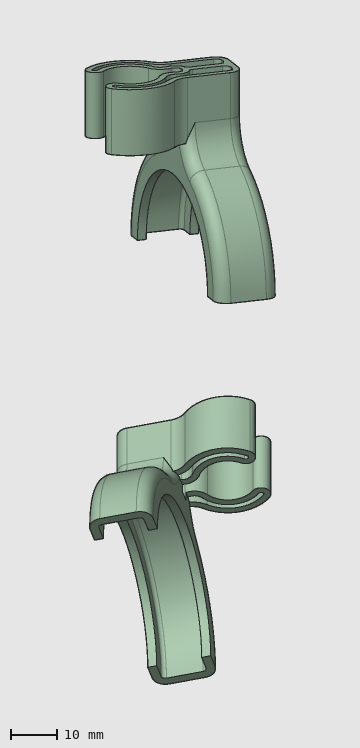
import cadquery as cq
import math

ring_radius = 28.1
bore_radius = 21.6
saddle_depth = 14.15
edge_round = 3.0
flank_radius = 10.0

shell = 2.0

clip_height = 15.0
top_z = 45.0
clip_bottom_z = top_z - clip_height
wall = 1.5
block_half_width = 6.0
web_half_width = 0.9
slot_corner_radius = edge_round - wall
slot_root_radius = 1.0

total_depth = 31.85
jaw_y = -24.0
jaw_outer_radius = 10.6
jaw_inner_radius = 6.4
shoulder_radius = 5.0
tip_radius = (jaw_outer_radius - jaw_inner_radius) / 2
tip_slot_radius = tip_radius - wall
tip_path_radius = jaw_inner_radius + tip_radius
tip_y = tip_radius - total_depth
tip_angle = math.asin((tip_y - jaw_y) / tip_path_radius)

bulb_radius = 1.5
throat_half_width = 1.3
throat_blend_radius = 4.0
relief_floor_z = 27.9

jaw_center = (0, jaw_y)


def polar(center, radius, angle):
    return (center[0] + radius * math.cos(angle), center[1] + radius * math.sin(angle))


def arc_to(path, center, start, end):
    """Add the shorter arc about center from start to end."""
    first = math.atan2(start[1] - center[1], start[0] - center[0])
    last = math.atan2(end[1] - center[1], end[0] - center[0])
    sweep = math.remainder(last - first, 2 * math.pi)
    radius = math.dist(center, start)
    return path.threePointArc(polar(center, radius, first + sweep / 2), end)


def toward(center, target, distance):
    """Point at the given distance from center, in the direction of target."""
    return polar(center, distance, math.atan2(target[1] - center[1], target[0] - center[0]))


def blend_center(wall_x, blend_radius, center, radius):
    """Center, above the circle, of an arc touching a wall and a circle from outside."""
    x = wall_x + blend_radius
    return (x, center[1] + math.sqrt((radius + blend_radius) ** 2 - x**2))


shoulder_center = blend_center(block_half_width, shoulder_radius, jaw_center, jaw_outer_radius)
throat_blend_center = blend_center(
    throat_half_width, throat_blend_radius, jaw_center, jaw_inner_radius
)
bulb_y = throat_blend_center[1] + math.sqrt(
    (bulb_radius + throat_blend_radius) ** 2 - throat_blend_center[0] ** 2
)
bulb_center = (0, bulb_y)
tip_center = polar(jaw_center, tip_path_radius, tip_angle)


def rounded_tip(path, radius, end):
    """Half-circle around the jaw tip, bulging away from the jaw."""
    return path.threePointArc(polar(tip_center, radius, tip_angle - math.pi / 2), end)


def make_saddle():
    blend = (
        block_half_width + flank_radius,
        math.sqrt((ring_radius + flank_radius) ** 2 - (block_half_width + flank_radius) ** 2),
    )
    ring_touch = toward((0, 0), blend, ring_radius)
    neck_touch = (block_half_width, blend[1])
    path = cq.Workplane("XZ").moveTo(0, bore_radius)
    path = arc_to(path, (0, 0), (0, bore_radius), (bore_radius, 0)).lineTo(ring_radius, 0)
    path = arc_to(path, (0, 0), (ring_radius, 0), ring_touch)
    path = arc_to(path, blend, ring_touch, neck_touch)
    half = path.lineTo(block_half_width, top_z).lineTo(0, top_z).close().extrude(saddle_depth)
    saddle = half.union(half.mirror("YZ")).clean()
    flank_middle = ((ring_touch[0] + neck_touch[0]) / 2, (ring_touch[1] + neck_touch[1]) / 2)
    edges = []
    for face_y in (0, -saddle_depth):
        for side in (-1, 1):
            for x, z in (
                polar((0, 0), ring_radius, math.pi / 8),
                toward(blend, flank_middle, flank_radius),
                (block_half_width, (top_z + neck_touch[1]) / 2),
            ):
                point = cq.Vertex.makeVertex(side * x, face_y, z)
                edges.append(min(saddle.edges().vals(), key=point.distance))
    return saddle.newObject(edges).fillet(edge_round)


def make_hollow():
    """Disk with rounded rims that hollows the saddle from its bore."""
    disk = cq.Workplane("XZ").workplane(offset=shell).circle(ring_radius - shell)
    disk = disk.extrude(saddle_depth - 2 * shell)
    return disk.edges("%CIRCLE").fillet(edge_round - shell)


def make_half_clip():
    """Right half of the clip, without its slot and bulb."""
    block_end = (block_half_width, shoulder_center[1])
    jaw_start = toward(jaw_center, shoulder_center, jaw_outer_radius)
    tip_start = polar(jaw_center, jaw_outer_radius, tip_angle)
    tip_end = polar(jaw_center, jaw_inner_radius, tip_angle)
    jaw_end = toward(jaw_center, throat_blend_center, jaw_inner_radius)
    throat_end = toward(bulb_center, throat_blend_center, bulb_radius)
    corner_center = (block_half_width - edge_round, -edge_round)

    path = cq.Workplane("XY").workplane(offset=clip_bottom_z).moveTo(0, 0)
    path = path.lineTo(corner_center[0], 0)
    path = arc_to(path, corner_center, (corner_center[0], 0), (block_half_width, -edge_round))
    path = path.lineTo(*block_end)
    path = arc_to(path, shoulder_center, block_end, jaw_start)
    path = arc_to(path, jaw_center, jaw_start, tip_start)
    path = rounded_tip(path, tip_radius, tip_end)
    path = arc_to(path, jaw_center, tip_end, jaw_end)
    path = arc_to(path, throat_blend_center, jaw_end, throat_end)
    path = path.lineTo(0, bulb_y)
    return path.close().extrude(clip_height)


def make_slot():
    """Slot in the right half, keeping an even wall around it."""
    left = web_half_width
    right = block_half_width - wall
    back = -wall
    corner = slot_corner_radius
    right_end = (right, shoulder_center[1])
    outer_radius = jaw_outer_radius - wall
    inner_radius = jaw_inner_radius + wall
    outer_start = toward(jaw_center, shoulder_center, outer_radius)
    tip_start = polar(jaw_center, outer_radius, tip_angle)
    tip_end = polar(jaw_center, inner_radius, tip_angle)
    inner_end = toward(jaw_center, throat_blend_center, inner_radius)
    bulb_start = toward(bulb_center, throat_blend_center, bulb_radius + wall)
    root_center = blend_center(left, slot_root_radius, bulb_center, bulb_radius + wall)
    bulb_end = toward(bulb_center, root_center, bulb_radius + wall)
    root_end = (left, root_center[1])

    path = cq.Workplane("XY").workplane(offset=clip_bottom_z).moveTo(left + corner, back)
    path = path.lineTo(right - corner, back)
    path = arc_to(path, (right - corner, back - corner), (right - corner, back), (right, back - corner))
    path = path.lineTo(*right_end)
    path = arc_to(path, shoulder_center, right_end, outer_start)
    path = arc_to(path, jaw_center, outer_start, tip_start)
    path = rounded_tip(path, tip_slot_radius, tip_end)
    path = arc_to(path, jaw_center, tip_end, inner_end)
    path = arc_to(path, throat_blend_center, inner_end, bulb_start)
    path = arc_to(path, bulb_center, bulb_start, bulb_end)
    path = arc_to(path, root_center, bulb_end, root_end)
    path = path.lineTo(left, back - corner)
    path = arc_to(path, (left + corner, back - corner), (left, back - corner), (left + corner, back))
    return path.close().extrude(clip_height)


def make_relief():
    """Bulb and throat, cut from the top down into the saddle."""
    right_start = toward(bulb_center, throat_blend_center, bulb_radius)
    right_end = (throat_half_width, throat_blend_center[1])
    left_start = (-right_start[0], right_start[1])
    left_end = (-right_end[0], right_end[1])
    left_blend_center = (-throat_blend_center[0], throat_blend_center[1])
    height = top_z - relief_floor_z
    plane = cq.Workplane("XY").workplane(offset=relief_floor_z)
    bulb = plane.moveTo(*bulb_center).circle(bulb_radius).extrude(height)
    path = plane.moveTo(*bulb_center).lineTo(*right_start)
    path = arc_to(path, throat_blend_center, right_start, right_end)
    path = path.lineTo(*left_end)
    path = arc_to(path, left_blend_center, left_end, left_start)
    return bulb.union(path.close().extrude(height))


half_clip = make_half_clip()
slot = make_slot()
body = make_saddle().union(half_clip).union(half_clip.mirror("YZ"))
result = body.cut(slot).cut(slot.mirror("YZ")).cut(make_relief()).cut(make_hollow()).clean()